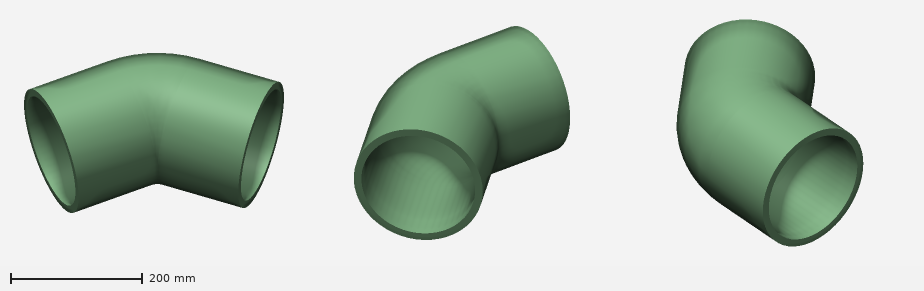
import cadquery as cq
import math

OUTER_DIAMETER = 200.0
BORE_DIAMETER = 176.2
BEND_ANGLE = 45.0
BEND_RADIUS = 105.0
CENTRE_TO_FACE = 173.0

TANGENT_LENGTH = BEND_RADIUS * math.tan(math.radians(BEND_ANGLE / 2))
LEG_LENGTH = CENTRE_TO_FACE - TANGENT_LENGTH


def elbow(diameter):
    """Solid elbow: inlet leg along +Y, bend toward +X, then outlet leg."""
    radius = diameter / 2
    inlet = cq.Workplane("XZ").circle(radius).extrude(LEG_LENGTH)
    bend = cq.Workplane("XZ").circle(radius).revolve(
        BEND_ANGLE, (BEND_RADIUS, 0, 0), (BEND_RADIUS, -1, 0)
    )
    outlet = (
        cq.Workplane("XZ")
        .circle(radius)
        .extrude(-LEG_LENGTH)
        .rotate((BEND_RADIUS, 0, 0), (BEND_RADIUS, 0, 1), -BEND_ANGLE)
    )
    return inlet.union(bend).union(outlet)


result = elbow(OUTER_DIAMETER).cut(elbow(BORE_DIAMETER))